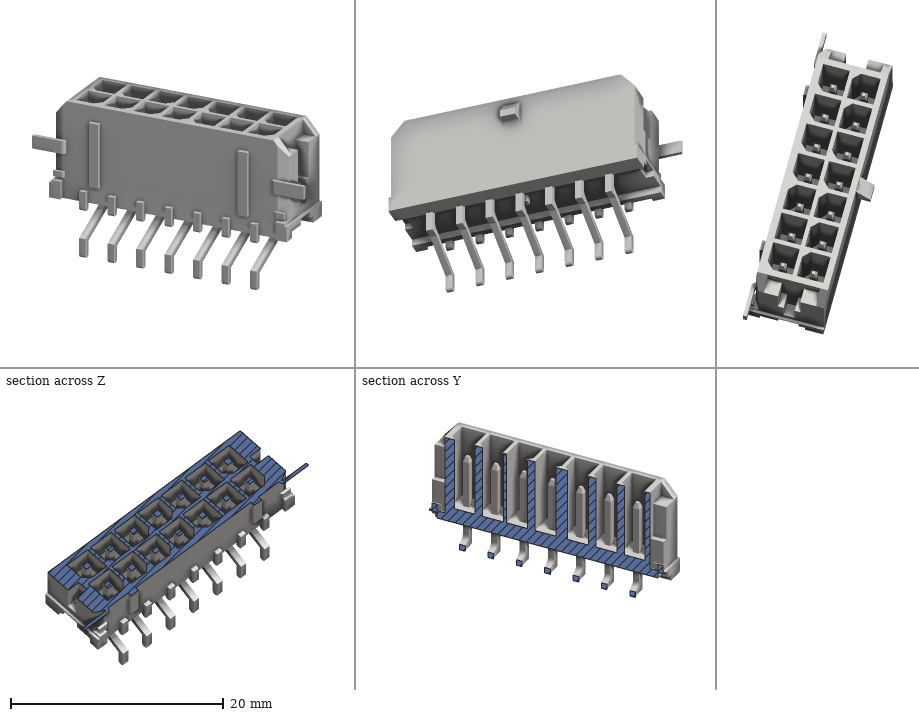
import cadquery as cq


HEIGHT = 9.88
DEPTH = 6.9
CORE_HALF = 10.92
PILLAR_HALF = 12.3
FLANGE_HALF = 12.55
FLANGE_TOP = 1.55
STANDOFF = 0.45
CORNER_BLOCK_TOP = 1.8
SHOULDER = 8.3
FRONT_WEDGE = 1.03
BACK_WEDGE = 0.77
CORNER_X = 0.95
CORNER_Y = 0.52
MID_Y = 3.5

WIDE_SLOT = 2.18
WIDE_SLOT_FLOOR = 4.75
NARROW_SLOT = 1.1
NARROW_SLOT_FLOOR = 2.25
POCKET_WIDE_HALF = 11.3
POCKET_TIP_HALF = 11.7
POCKET_TIP_WIDTH = 0.92

NOTCH_FRONT = 0.7
NOTCH_BACK = 5.1
NOTCH_HEIGHT = 0.7
RECESS_WIDTH = 2.0
RECESS_TOP = 1.32
RECESS_INNER_HALF = 11.75

COLUMNS = 7
PITCH = 3.0
CAVITY = 2.6
KEY = 0.7
CAVITY_FLOOR = 2.3
PIN = 0.65
PIN_TOP = 7.74
PIN_TIP = 0.3
PIN_TAPER = 0.57
FRONT_KEYS = ["right", "right", "right", "right", "left", None, "right"]
BACK_KEYS = ["left", "left", "right", "right", "left", "left", "left"]
FRONT_ROW_Y = MID_Y - PITCH / 2
BACK_ROW_Y = MID_Y + PITCH / 2

TIP_RADIUS = 0.3
FRONT_TAIL_TOP = 1.2
FRONT_TAIL_BOTTOM = -0.77
BACK_TAIL_BOTTOM = -5.53
ELBOW_Z = -2.0
ELBOW_Y = 4.2
ELBOW_RADIUS = 0.52
SLOPE = 0.47
LOWER_BEND_Z = -3.55

RIB_X = 7.85
RIB_WIDTH = 0.97

TAB_REACH = 14.32
TAB_BOTTOM = 4.65
TAB_TOP = 5.95
TAB_THICKNESS = 0.37
TAB_BEND = 0.37
HOOK_INNER = 11.1
HOOK_OUTER = 12.2
HOOK_BOTTOM = 2.15
HOOK_TOP = 2.75
HOOK_THICKNESS = 0.3
HOOK_BEND = 0.25

LATCH_WIDTH = 1.52
LATCH_REACH = 8.3
LATCH_TOP = 9.25
LATCH_NOSE_TOP = 7.7
LATCH_NOSE_BOTTOM = 7.0
LATCH_ROOT = 6.35
LATCH_ROOT_Y = 7.55
ARC_BULGE = 0.3

PEG = 0.63


def block(x0, x1, y0, y1, z0, z1):
    return cq.Workplane("XY").box(x1 - x0, y1 - y0, z1 - z0, centered=False).translate((x0, y0, z0))


def both_ends(shape):
    return shape.union(shape.mirror("YZ"))


def side_profile(points, x, width):
    """Extrude a closed (Y, Z) outline along X, centred on x."""
    return cq.Workplane("YZ", origin=(x - width / 2, 0, 0)).polyline(points).close().extrude(width)


def housing():
    """Body with sloped end walls, chamfered front corners and a base flange."""
    top_slope = [
        (-PILLAR_HALF, 0), (PILLAR_HALF, 0), (PILLAR_HALF, SHOULDER), (CORE_HALF, HEIGHT),
        (-CORE_HALF, HEIGHT), (-PILLAR_HALF, SHOULDER),
    ]
    body = cq.Workplane("XZ").polyline(top_slope).close().extrude(-DEPTH)
    face_half = PILLAR_HALF - CORNER_X
    corner = (
        cq.Workplane("XY", origin=(0, 0, CORNER_BLOCK_TOP))
        .polyline([(face_half, 0), (PILLAR_HALF, 0), (PILLAR_HALF, CORNER_Y)]).close().extrude(HEIGHT)
    )
    body = body.cut(both_ends(corner))
    body = body.union(block(-FLANGE_HALF, FLANGE_HALF, 0, DEPTH, 0, FLANGE_TOP))
    foot = block(face_half, FLANGE_HALF, -STANDOFF, DEPTH, 0, FLANGE_TOP)
    corner_block = block(face_half, PILLAR_HALF, -STANDOFF, CORNER_Y, 0, CORNER_BLOCK_TOP)
    return body.union(both_ends(foot.union(corner_block)))


def end_slots():
    """Cutter for the flat pillar tops, stepped slots and floor pockets at both ends."""
    def slot(outer, width, z0, z1):
        return block(CORE_HALF, outer, MID_Y - width / 2, MID_Y + width / 2, z0, z1)

    cutter = block(CORE_HALF, PILLAR_HALF, FRONT_WEDGE, DEPTH - BACK_WEDGE, SHOULDER, HEIGHT)
    cutter = cutter.union(slot(PILLAR_HALF, WIDE_SLOT, WIDE_SLOT_FLOOR, HEIGHT))
    cutter = cutter.union(slot(PILLAR_HALF, NARROW_SLOT, NARROW_SLOT_FLOOR, HEIGHT))
    cutter = cutter.union(slot(POCKET_WIDE_HALF, NARROW_SLOT, FLANGE_TOP, HEIGHT))
    cutter = cutter.union(slot(POCKET_TIP_HALF, POCKET_TIP_WIDTH, FLANGE_TOP, HEIGHT))
    return both_ends(cutter)


def underside():
    """Cutter for the full-length notch and the deeper recess at each end."""
    notch = block(-FLANGE_HALF, FLANGE_HALF, NOTCH_FRONT, NOTCH_BACK, 0, NOTCH_HEIGHT)
    recess = block(
        RECESS_INNER_HALF, FLANGE_HALF, MID_Y - RECESS_WIDTH / 2, MID_Y + RECESS_WIDTH / 2, 0, RECESS_TOP
    )
    return notch.union(both_ends(recess))


def cavity(x, y, key):
    """Cutter for one square cavity, with its front left or front right corner cut off."""
    half = CAVITY / 2
    cutter = block(x - half, x + half, y - half, y + half, CAVITY_FLOOR, HEIGHT)
    if key == "left":
        cutter = cutter.edges("|Z and <X and <Y").chamfer(KEY)
    if key == "right":
        cutter = cutter.faces(">X").edges("|Z and <Y").chamfer(KEY)
    return cutter


def pin(x, y):
    shaft = cq.Workplane("XY", origin=(x, y, CAVITY_FLOOR)).rect(PIN, PIN)
    shaft = shaft.extrude(PIN_TOP - PIN_TAPER - CAVITY_FLOOR)
    taper = (
        cq.Workplane("XY", origin=(x, y, PIN_TOP - PIN_TAPER)).rect(PIN, PIN)
        .workplane(offset=PIN_TAPER).rect(PIN_TIP, PIN_TIP).loft(ruled=True)
    )
    return shaft.union(taper)


def front_tail(x):
    tail = block(
        x - PIN / 2, x + PIN / 2, -STANDOFF, PIN - STANDOFF, FRONT_TAIL_BOTTOM, FRONT_TAIL_TOP
    )
    return tail.faces("<Z").edges("|X").fillet(TIP_RADIUS)


def back_tail(x):
    """Tail dropping from the back row, sloping forward and ending in a vertical leg."""
    front = -STANDOFF
    inner = BACK_ROW_Y - PIN / 2
    outer = BACK_ROW_Y + PIN / 2
    leg_back = front + PIN
    elbow_inner_z = LOWER_BEND_Z + SLOPE * (inner - front)
    lower_bend_back_z = ELBOW_Z - SLOPE * (ELBOW_Y - leg_back)
    outline = [
        (outer, NOTCH_HEIGHT), (outer, ELBOW_Z), (ELBOW_Y, ELBOW_Z), (leg_back, lower_bend_back_z),
        (leg_back, BACK_TAIL_BOTTOM), (front, BACK_TAIL_BOTTOM), (front, LOWER_BEND_Z),
        (inner, elbow_inner_z), (inner, NOTCH_HEIGHT),
    ]
    tail = side_profile(outline, x, PIN)
    tail = tail.edges(cq.selectors.NearestToPointSelector((x, inner, elbow_inner_z))).fillet(ELBOW_RADIUS)
    return tail.faces("<Z").edges("|X").fillet(TIP_RADIUS)


def latch():
    """Ramp with a flat nose and a concave arc back into the rear face."""
    corner = LATCH_ROOT_Y - DEPTH
    drop = LATCH_NOSE_BOTTOM - LATCH_ROOT
    arc_mid = (DEPTH + corner * ARC_BULGE, LATCH_NOSE_BOTTOM - drop * ARC_BULGE)
    return (
        cq.Workplane("YZ", origin=(-LATCH_WIDTH / 2, 0, 0))
        .moveTo(DEPTH, LATCH_TOP)
        .lineTo(LATCH_REACH, LATCH_NOSE_TOP)
        .lineTo(LATCH_REACH, LATCH_NOSE_BOTTOM)
        .lineTo(LATCH_ROOT_Y, LATCH_NOSE_BOTTOM)
        .threePointArc(arc_mid, (DEPTH, LATCH_ROOT))
        .close()
        .extrude(LATCH_WIDTH)
    )


def side_tab():
    """L-shaped strap leaving the front face and running out past the end."""
    tab = block(CORE_HALF, TAB_REACH, -STANDOFF, 0, TAB_BOTTOM, TAB_TOP)
    tab = tab.faces("<X").edges("|Z and <Y").fillet(TAB_BEND)
    gap = block(CORE_HALF + TAB_THICKNESS, TAB_REACH, TAB_THICKNESS - STANDOFF, 0, TAB_BOTTOM, TAB_TOP)
    return tab.cut(gap)


def hook():
    bar = block(HOOK_INNER, HOOK_OUTER, -HOOK_THICKNESS, 0, HOOK_BOTTOM, HOOK_TOP)
    return bar.faces("<X").edges("|Z and <Y").fillet(HOOK_BEND)


def rib():
    return block(
        RIB_X - RIB_WIDTH / 2, RIB_X + RIB_WIDTH / 2, -STANDOFF, 0, CORNER_BLOCK_TOP, SHOULDER
    )


result = housing().cut(end_slots()).cut(underside())

for column in range(COLUMNS):
    column_x = (column - (COLUMNS - 1) / 2) * PITCH
    for row_y, keys in ((FRONT_ROW_Y, FRONT_KEYS), (BACK_ROW_Y, BACK_KEYS)):
        result = result.cut(cavity(column_x, row_y, keys[column]))
        result = result.union(pin(column_x, row_y))
    result = result.union(front_tail(column_x)).union(back_tail(column_x))

result = result.union(both_ends(rib()))
result = result.union(both_ends(side_tab()))
result = result.union(both_ends(hook()))
result = result.union(latch())
result = result.union(
    block(-PEG / 2, PEG / 2, MID_Y - PEG / 2, MID_Y + PEG / 2, 0, NOTCH_HEIGHT)
)